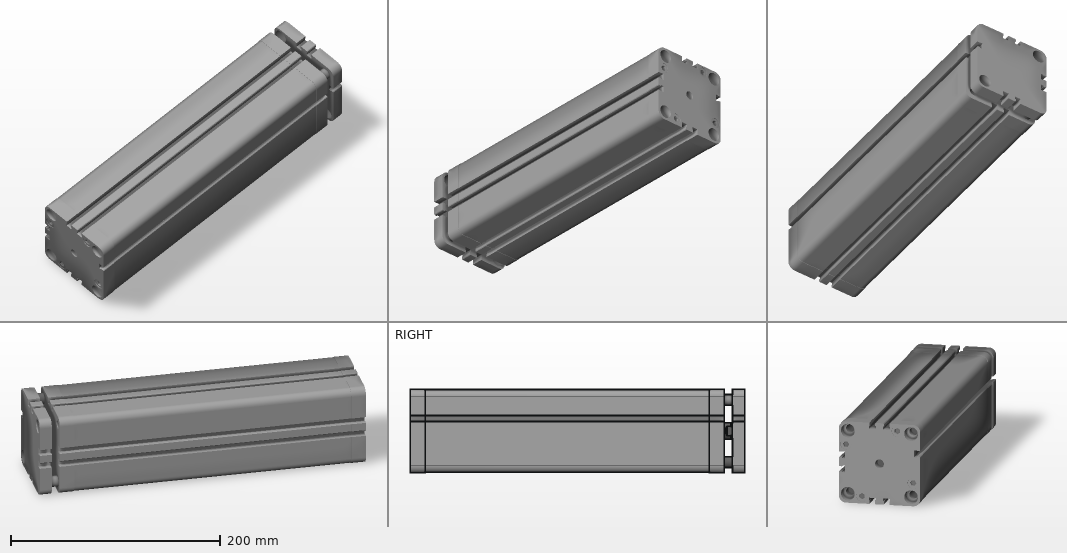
import cadquery as cq
import math

width = 80.0
length = 319.5
half_width = width / 2
corner_radius = 7.0

front_face = -length / 2
rear_face = length / 2
cap_length = 14.5
plate_thickness = 11.8
plate_gap = 7.7
plate_front = rear_face - plate_thickness
body_end = plate_front - plate_gap

tube_inset = 0.3

slot_depth = 6.0
slot_lip_depth = 3.2
slot_near = 3.5
slot_mouth_near = 4.5
slot_mouth_far = 10.0
slot_far = 10.2
lip_chamfer = 0.5
single_slot_far = 15.0
single_slot_shift = single_slot_far - slot_far

mount_offset = 31.0
mount_diameter = 8.0
counterbore_diameter = 13.5
counterbore_depth = 9.5
blind_hole_depth = 19.2

screw_near_edge = 33.0
screw_side_offset = 17.3
screw_recess_diameter = 10.5
screw_recess_depth = 0.5
screw_socket_across_corners = 6.0
screw_socket_depth = 3.8

port_diameter = 8.5
port_depth = 9.5

guide_rod_diameter = 10.5
guide_rod_offset = 29.7
piston_rod_diameter = 16.0
piston_flat_width = 13.0
piston_flat_length = 5.0
piston_chamfer_length = 1.5
piston_chamfer_height = 0.5

TOP, RIGHT, BOTTOM, LEFT = 0, 90, 180, 270


def along_y(y):
    """Sketch plane at the given Y whose extrusion runs toward +Y; local (x, y) is (X, -Z)."""
    return cq.Workplane(cq.Plane(origin=(0, y, 0), xDir=(1, 0, 0), normal=(0, 1, 0)))


def rounded_bar(y_start, y_end, inset=0.0):
    side = width - 2 * inset
    bar = along_y(y_start).rect(side, side).extrude(y_end - y_start)
    return bar.edges("|Y").fillet(corner_radius - inset)


def cylinder(x, z, diameter, y_start, y_end):
    return along_y(y_start).center(x, -z).circle(diameter / 2).extrude(y_end - y_start)


def slot(y_start, y_end, inset, mirrored=False, shift=0.0):
    """Slot in the +Z side of one section, its far wall toward +X unless mirrored."""
    side = -1 if mirrored else 1
    floor = half_width - inset - slot_depth
    lip = half_width - inset - slot_lip_depth
    surface = half_width - inset
    outline = [
        (slot_near, floor),
        (slot_far, floor),
        (slot_far, lip),
        (slot_mouth_far, lip),
        (slot_mouth_far, surface),
        (slot_mouth_near - lip_chamfer, surface),
        (slot_mouth_near, surface - lip_chamfer),
        (slot_mouth_near, lip),
        (slot_near, lip),
    ]
    points = [(side * (x + shift), -z) for x, z in outline]
    return along_y(y_start).polyline(points).close().extrude(y_end - y_start)


def about_axis(shape, angle):
    return shape.rotate((0, 0, 0), (0, 1, 0), angle)


def slotted_bar(y_start, y_end, inset=0.0):
    """Rounded square section with slot pairs on the top, bottom and -X sides and one slot on the +X side."""
    bar = rounded_bar(y_start, y_end, inset)
    for angle in (TOP, BOTTOM, LEFT):
        for mirrored in (False, True):
            bar = bar.cut(about_axis(slot(y_start, y_end, inset, mirrored), angle))
    single_slot = slot(y_start, y_end, inset, True, single_slot_shift)
    return bar.cut(about_axis(single_slot, RIGHT))


def piston_rod():
    """Rod across the gap with two wrench flats facing +X and -X and a sloped run-out."""
    rod = cylinder(0, 0, piston_rod_diameter, body_end, plate_front)
    rod = rod.faces(">Y").chamfer(piston_chamfer_length, piston_chamfer_height)
    radius = piston_rod_diameter / 2
    flat = piston_flat_width / 2
    flat_start = plate_front - piston_flat_length
    for side in (1, -1):
        cutter = (
            cq.Workplane("XY")
            .workplane(offset=-radius)
            .moveTo(side * flat, plate_front)
            .lineTo(side * flat, flat_start)
            .lineTo(side * radius, flat_start - (radius - flat))
            .lineTo(side * radius, plate_front)
            .close()
            .extrude(2 * radius)
        )
        rod = rod.cut(cutter)
    return rod


def screw_cut():
    """Round recess with a deeper hexagon socket, one corner of the hexagon toward +Z."""
    centre = along_y(front_face).center(screw_side_offset, -screw_near_edge)
    recess = centre.circle(screw_recess_diameter / 2).extrude(screw_recess_depth)
    half_corners = screw_socket_across_corners / 2
    corner_angles = [math.radians(30 + 60 * i) for i in range(6)]
    corners = [(half_corners * math.cos(a), half_corners * math.sin(a)) for a in corner_angles]
    socket = centre.polyline(corners).close().extrude(screw_socket_depth)
    return recess.union(socket)


tube_start = front_face + cap_length
tube_end = body_end - cap_length
result = slotted_bar(front_face, tube_start)
result = result.union(slotted_bar(tube_start, tube_end, tube_inset))
result = result.union(slotted_bar(tube_end, body_end))
result = result.union(slotted_bar(plate_front, rear_face))

result = result.union(piston_rod())
for sign in (1, -1):
    place = sign * guide_rod_offset
    result = result.union(cylinder(place, place, guide_rod_diameter, body_end, plate_front))

for x_sign in (1, -1):
    for z_sign in (1, -1):
        x = x_sign * mount_offset
        z = z_sign * mount_offset
        through = x_sign != z_sign
        hole_end = rear_face if through else front_face + blind_hole_depth
        result = result.cut(cylinder(x, z, mount_diameter, front_face, hole_end))
        result = result.cut(cylinder(x, z, counterbore_diameter, front_face, front_face + counterbore_depth))
        if through:
            result = result.cut(cylinder(x, z, counterbore_diameter, plate_front, rear_face))

for angle in (TOP, RIGHT, BOTTOM, LEFT):
    result = result.cut(about_axis(screw_cut(), angle))

result = result.cut(cylinder(0, 0, port_diameter, front_face, front_face + port_depth))